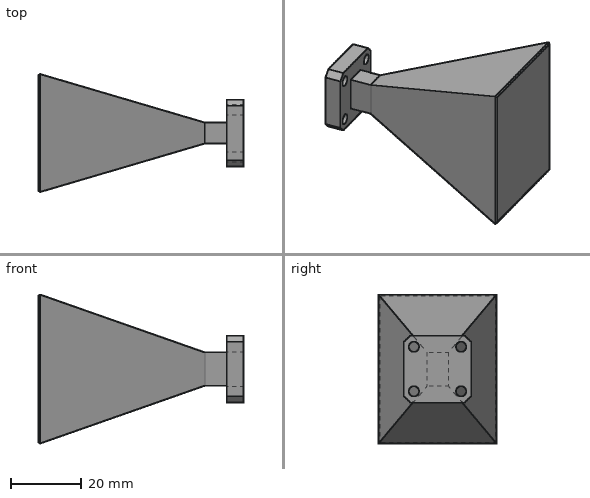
import cadquery as cq

total_length = 58.4
mouth_width = 33.65
mouth_height = 42.5
rim_length = 0.45
rim_inset = 0.35

neck_width = 6.1
neck_height = 9.6
neck_start = 47.3

flange_size = 19.1
flange_thickness = 4.8
flange_corner = 1.8
flange_start = total_length - flange_thickness

hole_diameter = 2.9
hole_spacing_y = 13.45
hole_spacing_z = 12.7


def section(x, width, height):
    """Rectangle across the horn axis at position x."""
    return cq.Workplane("YZ", origin=(x, 0, 0)).rect(width, height)


def frustum(x_start, start_size, x_end, end_size):
    """Tapered block between two rectangular sections."""
    start = section(x_start, *start_size)
    return start.workplane(offset=x_end - x_start).rect(*end_size).loft(ruled=True)


mouth_size = (mouth_width, mouth_height)
face_size = (mouth_width - 2 * rim_inset, mouth_height - 2 * rim_inset)
neck_size = (neck_width, neck_height)

rim = frustum(0, face_size, rim_length, mouth_size)
horn = frustum(rim_length, mouth_size, neck_start, neck_size)

neck = section(neck_start, *neck_size).extrude(flange_start - neck_start)

flange = section(flange_start, flange_size, flange_size).extrude(flange_thickness)
flange = flange.edges("|X").chamfer(flange_corner)
holes = (
    cq.Workplane("YZ", origin=(flange_start, 0, 0))
    .rect(hole_spacing_y, hole_spacing_z, forConstruction=True)
    .vertices()
    .circle(hole_diameter / 2)
    .extrude(flange_thickness)
)
flange = flange.cut(holes)

result = rim.union(horn).union(neck).union(flange)